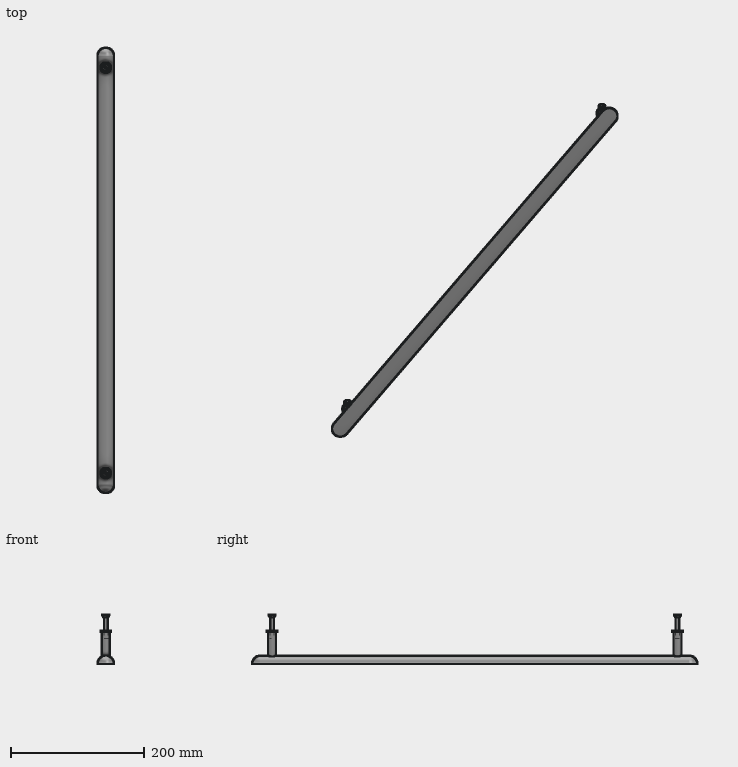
import cadquery as cq
import math

bar_radius = 12.7
bar_length = 668
half_length = bar_length / 2
half_straight = half_length - bar_radius

post_end_inset = 30
post_offset = half_length - post_end_inset
post_diameter = 12.4
post_top = 50
collar_diameter = 16
collar_thickness = 2

screw_top = 74
head_diameter = 11
shank_diameter = 6
head_rim = 0.5
head_cone = 4
screw_depth = 12
screw_bottom = post_top - screw_depth
slot_width = 2
slot_depth = 1.5
slot_angle = -45


def make_rod():
    """Full round rod along Y with hemispherical ends."""
    diagonal = bar_radius * math.sqrt(0.5)
    profile = (
        cq.Workplane("XY")
        .moveTo(0, -half_length)
        .threePointArc((diagonal, -half_straight - diagonal), (bar_radius, -half_straight))
        .lineTo(bar_radius, half_straight)
        .threePointArc((diagonal, half_straight + diagonal), (0, half_length))
        .close()
    )
    return profile.revolve(360, (0, 0, 0), (0, 1, 0))


def make_bar():
    """Upper half of the rod, flat underneath."""
    upper_half = cq.Workplane("XY").box(
        2 * bar_radius, bar_length, bar_radius, centered=(True, True, False)
    )
    return make_rod().intersect(upper_half)


def cylinder(diameter, bottom, top, y):
    return cq.Workplane("XY", origin=(0, y, bottom)).circle(diameter / 2).extrude(top - bottom)


def make_post(y):
    """Post saddled on the bar, with a collar and a blind hole for the screw."""
    post = cylinder(post_diameter, 0, post_top, y)
    collar = cylinder(collar_diameter, post_top - collar_thickness, post_top, y)
    screw_hole = cylinder(shank_diameter, screw_bottom, post_top, y)
    return post.union(collar).cut(make_rod()).cut(screw_hole)


def make_screw(y):
    """Screw with its head up and a driver slot across the head."""
    head_radius = head_diameter / 2
    shank_radius = shank_diameter / 2
    rim_bottom = screw_top - head_rim
    cone_bottom = rim_bottom - head_cone
    screw = (
        cq.Workplane("XZ")
        .moveTo(0, screw_bottom)
        .lineTo(shank_radius, screw_bottom)
        .lineTo(shank_radius, cone_bottom)
        .lineTo(head_radius, rim_bottom)
        .lineTo(head_radius, screw_top)
        .lineTo(0, screw_top)
        .close()
        .revolve(360, (0, 0, 0), (0, 1, 0))
    )
    slot = (
        cq.Workplane("XY", origin=(0, 0, screw_top - slot_depth))
        .transformed(rotate=(0, 0, slot_angle))
        .rect(head_diameter, slot_width)
        .extrude(slot_depth)
    )
    return screw.cut(slot).translate((0, y, 0))


bar = make_bar()
posts = [make_post(side * post_offset) for side in (-1, 1)]
screws = [make_screw(side * post_offset) for side in (-1, 1)]

result = cq.Compound.makeCompound([body.val() for body in [bar, *posts, *screws]])